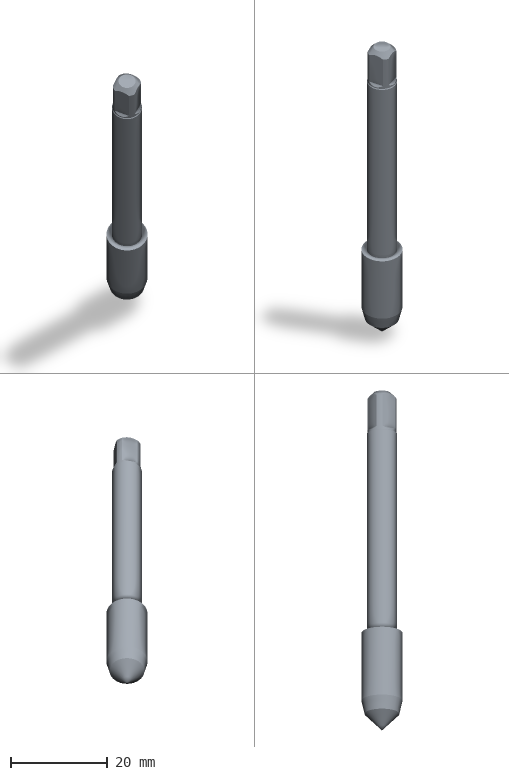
import cadquery as cq

total_length = 73.1
shoulder_height = 21.1
shank_top = 64.3

tip_diameter = 8.5
point_diameter = 7.2
point_length = point_diameter / 2
taper_length = 2.85

shank_diameter = 6.2
drive_corner_diameter = 5.9
shank_end_chamfer = (shank_diameter - drive_corner_diameter) / 2
foot_diameter = 6.3
foot_flare_length = 0.4

drive_width = 5.0
drive_end_diameter = 3.5
drive_end_chamfer = (drive_corner_diameter - drive_end_diameter) / 2
flat_bottom = shank_top + 0.9


def make_tip():
    """Solid of revolution: point, taper and cylindrical body."""
    taper_top = point_length + taper_length
    profile = (
        cq.Workplane("XZ")
        .moveTo(0, 0)
        .lineTo(point_diameter / 2, point_length)
        .lineTo(tip_diameter / 2, taper_top)
        .lineTo(tip_diameter / 2, shoulder_height)
        .lineTo(0, shoulder_height)
        .close()
    )
    return profile.revolve(360, (0, 0, 0), (0, 1, 0))


def make_shank_blank():
    """Turned shank with a flared foot, a chamfered top and a round drive end."""
    profile = (
        cq.Workplane("XZ")
        .moveTo(0, shoulder_height)
        .lineTo(foot_diameter / 2, shoulder_height)
        .lineTo(shank_diameter / 2, shoulder_height + foot_flare_length)
        .lineTo(shank_diameter / 2, shank_top)
        .lineTo(drive_corner_diameter / 2, shank_top + shank_end_chamfer)
        .lineTo(drive_corner_diameter / 2, total_length - drive_end_chamfer)
        .lineTo(drive_end_diameter / 2, total_length)
        .lineTo(0, total_length)
        .close()
    )
    return profile.revolve(360, (0, 0, 0), (0, 1, 0))


def make_flat_cutter():
    """Cutter for the +X flat, with a 45 degree slope running out at its lower end."""
    flat_x = drive_width / 2
    outer_x = shank_diameter / 2
    slope_drop = outer_x - flat_x
    return (
        cq.Workplane("XZ")
        .moveTo(flat_x, total_length)
        .lineTo(flat_x, flat_bottom)
        .lineTo(outer_x, flat_bottom - slope_drop)
        .lineTo(outer_x, total_length)
        .close()
        .extrude(shank_diameter / 2, both=True)
    )


def make_shank():
    """Shank blank with four flats forming the square drive."""
    shank = make_shank_blank()
    cutter = make_flat_cutter()
    for angle in (0, 90, 180, 270):
        shank = shank.cut(cutter.rotate((0, 0, 0), (0, 0, 1), angle))
    return shank


tip = make_tip()
shank = make_shank()
result = cq.Compound.makeCompound([tip.val(), shank.val()])